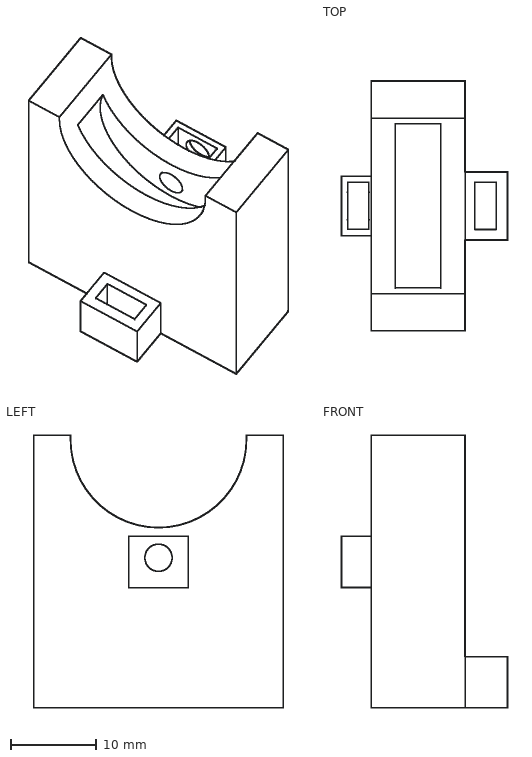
import cadquery as cq

block_x = 11.0
block_y = 29.3
block_z = 32.0

cradle_radius = 10.3
cradle_axis_z = block_z - 0.55
groove_radius = 10.0
groove_drop = 6.5
groove_width = 5.3
groove_start_x = (block_x - groove_width) / 2

lug_height = 6.0
slot_x = 2.5
slot_y = 5.5

cup_x = 3.5
cup_y = 7.0
cup_base_z = 14.1
cup_outer_wall = 0.75
cup_floor = 0.5

hole_diameter = 3.2
hole_axis_z = 17.6

loop_x = 5.0
loop_y = 8.0
loop_inner_wall = 1.15


def box_from(start_x, base_z, size_x, size_y, size_z):
    """Box centred on Y, starting at the given X and Z."""
    return cq.Workplane("XY").box(size_x, size_y, size_z, centered=(False, True, False)).translate(
        (start_x, 0, base_z)
    )


def rod_along_x(start_x, axis_z, radius, length):
    """Cylinder along +X whose axis lies in the plane Y = 0."""
    return cq.Workplane("YZ", origin=(start_x, 0, axis_z)).circle(radius).extrude(length)


block = box_from(0, 0, block_x, block_y, block_z)
cradle = rod_along_x(0, cradle_axis_z, cradle_radius, block_x)
cradle_mouth = box_from(0, cradle_axis_z, block_x, 2 * cradle_radius, block_z - cradle_axis_z)
groove = rod_along_x(groove_start_x, cradle_axis_z - groove_drop, groove_radius, groove_width)

cup = box_from(-cup_x, cup_base_z, cup_x, cup_y, lug_height)
cup_slot = box_from(
    cup_outer_wall - cup_x, cup_base_z + cup_floor, slot_x, slot_y, lug_height - cup_floor
)
loop = box_from(block_x, 0, loop_x, loop_y, lug_height)
loop_slot = box_from(block_x + loop_inner_wall, 0, slot_x, slot_y, lug_height)

hole_length = cup_x + groove_start_x + groove_width / 2
hole = rod_along_x(-cup_x, hole_axis_z, hole_diameter / 2, hole_length)

result = block.union(cup).union(loop)
for cutter in (cradle, cradle_mouth, groove, cup_slot, loop_slot, hole):
    result = result.cut(cutter)